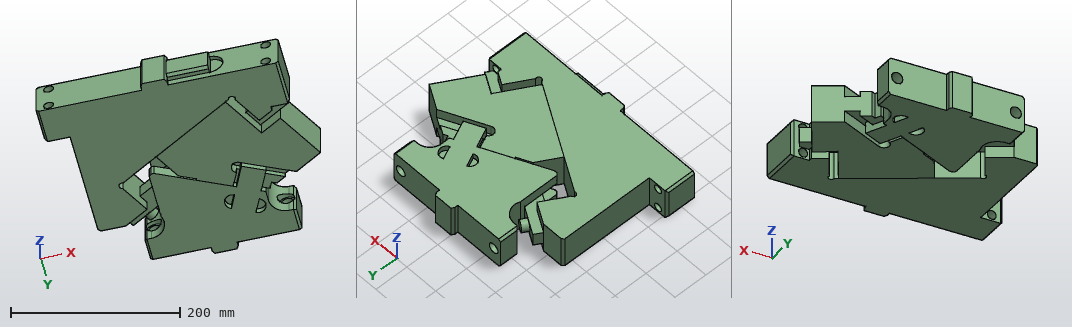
import cadquery as cq
import math


THICKNESS = 50.0
HALF = THICKNESS / 2
END_CHAMFER = 3.0
REACH = 624.5

KEY_WIDTH = 32.0
KEY_HEIGHT = 9.0
KEY_BEVEL_ACROSS = 2.5
KEY_BEVEL_DOWN = 4.0

BASE_WIDTH = 294.8
PLATE_HEIGHT = 45.0
TOWER_X = 30.3
TOWER_HEIGHT = 184.5
LEDGE_X = 271.0
LEDGE_HEIGHT = 59.5
BASE_KEY_X = 128.7
MOUNT_HOLE_RADIUS = 6.0
MOUNT_HOLE_INSET = 15.3
MOUNT_HOLE_Z = 17.0

CROSS_KEY_LENGTH = 50.5
CROSS_KEY_WIDTH = 32.5
CROSS_KEY_SEAT_DEPTH = 5.0

CHANNEL_ANGLE = math.radians(-30)
CHANNEL_CORNER = (70.3, 126.8)
CHANNEL_LENGTH = 184.3
CHANNEL_DEPTH = 47.0
RELIEF_RADIUS = 4.0
RELIEF_INSET = 2.5

RAIL_HALF_WIDTH = 10.0
RAIL_OVERHANG = 35.0
RAIL_TOP = 60.0
RAIL_BOTTOM = 35.0
BOLT_RADIUS = 8.0
BOLT_HEIGHT = 10.0
BOLT_BEFORE_CHANNEL = 11.2

SLIDE_LEFT = 60.0
SLIDE_RIGHT = 173.5
SLIDE_END = 204.3
SLIDE_TOP = 130.2
RAIL_CLEARANCE = 2.0
SLIDE_OVERHANG = RAIL_TOP + RAIL_CLEARANCE

CONTACT_ANGLE = math.radians(25)
CONTACT_START = (107.5, 116.2)
CONTACT_END = 147.0
NOSE_STEP = 8.7
TOE_RELIEF = 2.03
TOE_RELIEF_END = 58.5

DRIVER_LEFT = 80.3
DRIVER_RIGHT = 265.0
DRIVER_TOP = 239.0
FLANGE_BOTTOM = 209.0
NECK_RIGHT = 236.0
NECK_RADIUS = 20.0
TIP_Y = 119.3
TIP_CHAMFER = 3.0
DRIVER_KEY_X = 154.0
FLANGE_HOLE_INSET = 12.0
FLANGE_HOLE_RADIUS = 7.5
COUNTERBORE_RADIUS = 10.0
COUNTERBORE_DEPTH = 5.0

STRAP_START = 106.8
STRAP_WIDTH = 29.7
STRAP_END = STRAP_START + STRAP_WIDTH
STRAP_DROP = 30.0
STRAP_THICKNESS = 8.0
SEAT_RELIEF_RADIUS = 10.0
SEAT_RELIEF_HEIGHT = 22.0
POCKET_START = 102.8
GROOVE_RADIUS = 7.5
GROOVE_CENTER = -27.5
GROOVE_TOP = GROOVE_CENTER + GROOVE_RADIUS
GROOVE_BOTTOM = GROOVE_CENTER - GROOVE_RADIUS
GROOVE_DEPTH = HALF - RAIL_HALF_WIDTH


def turned(along, square, angle, start):
    """X and Y of a point given along and square to a line through start."""
    return (
        start[0] + along * math.cos(angle) - square * math.sin(angle),
        start[1] + along * math.sin(angle) + square * math.cos(angle),
    )


def channel(u, v):
    """u runs down the channel floor from its upper corner, v stands square to the floor."""
    return turned(u, v, CHANNEL_ANGLE, CHANNEL_CORNER)


def contact(s, n):
    """s runs up the contact face, n stands square to it on the driver side."""
    return turned(s, n, CONTACT_ANGLE, CONTACT_START)


def shoulder_at_x(x):
    """The point with this X on the line of the channel's upper corners."""
    along = (x - channel(0, CHANNEL_DEPTH)[0]) / math.cos(CHANNEL_ANGLE)
    return channel(along, CHANNEL_DEPTH)


def shoulder_at_y(y):
    """The point with this Y on the line of the channel's upper corners."""
    along = (y - channel(0, CHANNEL_DEPTH)[1]) / math.sin(CHANNEL_ANGLE)
    return channel(along, CHANNEL_DEPTH)


def prism(points, z_low=-HALF, z_high=HALF):
    return cq.Workplane("XY", origin=(0, 0, z_low)).polyline(points).close().extrude(z_high - z_low)


def disc(center, radius, z_low=-HALF, z_high=HALF):
    return cq.Workplane("XY", origin=(*center, z_low)).circle(radius).extrude(z_high - z_low)


def rectangle(frame, along_0, square_0, along_1, square_1):
    """Corners of a rectangle lying in an inclined frame."""
    return [
        frame(along_0, square_0),
        frame(along_1, square_0),
        frame(along_1, square_1),
        frame(along_0, square_1),
    ]


def side_layers(depth):
    """Z limits of the two layers of this depth under the +Z and -Z faces."""
    return [(HALF - depth, HALF), (-HALF, depth - HALF)]


def chamfer_ends(body, mounting_side):
    """Bevel the two end faces, leaving the edges on the mounting side sharp."""
    for end in ("<X", ">X"):
        body = body.faces(end).edges(f"not {mounting_side}").chamfer(END_CHAMFER)
    return body


def locating_key(x, face_y, outward):
    """A bevelled key on the mounting face; outward is +1 toward +Y and -1 toward -Y."""
    shoulder = face_y + outward * (KEY_HEIGHT - KEY_BEVEL_DOWN)
    crest = face_y + outward * KEY_HEIGHT
    return prism([
        (x, face_y),
        (x, shoulder),
        (x + KEY_BEVEL_ACROSS, crest),
        (x + KEY_WIDTH - KEY_BEVEL_ACROSS, crest),
        (x + KEY_WIDTH, shoulder),
        (x + KEY_WIDTH, face_y),
    ])


def base_block():
    body = prism([
        (0, 0),
        (0, PLATE_HEIGHT),
        (TOWER_X, PLATE_HEIGHT),
        (TOWER_X, TOWER_HEIGHT),
        shoulder_at_y(TOWER_HEIGHT),
        channel(0, CHANNEL_DEPTH),
        channel(0, 0),
        channel(CHANNEL_LENGTH, 0),
        channel(CHANNEL_LENGTH, CHANNEL_DEPTH),
        shoulder_at_x(LEDGE_X),
        (LEDGE_X, LEDGE_HEIGHT),
        (BASE_WIDTH, LEDGE_HEIGHT),
        (BASE_WIDTH, 0),
    ])
    body = chamfer_ends(body, "<Y")
    tower_corner = cq.selectors.NearestToPointSelector((TOWER_X, TOWER_HEIGHT, 0))
    body = body.edges(tower_corner).chamfer(END_CHAMFER)
    for u in (RELIEF_INSET, CHANNEL_LENGTH - RELIEF_INSET):
        body = body.cut(disc(channel(u, RELIEF_INSET), RELIEF_RADIUS))
    return body


def mount_holes():
    """Four holes along Y, through the plate on the left and through the ledge on the right."""
    centers = [
        (x, z)
        for x in (MOUNT_HOLE_INSET, BASE_WIDTH - MOUNT_HOLE_INSET)
        for z in (-MOUNT_HOLE_Z, MOUNT_HOLE_Z)
    ]
    return cq.Workplane("XZ").pushPoints(centers).circle(MOUNT_HOLE_RADIUS).extrude(-LEDGE_HEIGHT)


def cross_key():
    half_width = CROSS_KEY_WIDTH / 2
    half_crest = half_width - KEY_BEVEL_ACROSS
    shoulder = KEY_BEVEL_DOWN - KEY_HEIGHT
    return (
        cq.Workplane("YZ", origin=(BASE_KEY_X + KEY_WIDTH, 0, 0))
        .polyline([
            (0, -half_width),
            (shoulder, -half_width),
            (-KEY_HEIGHT, -half_crest),
            (-KEY_HEIGHT, half_crest),
            (shoulder, half_width),
            (0, half_width),
        ])
        .close()
        .extrude(CROSS_KEY_LENGTH)
    )


def cross_key_seat_end():
    """The half-round end of the key seat, left open past the end of the cross key."""
    radius = CROSS_KEY_WIDTH / 2
    return (
        cq.Workplane("XZ", origin=(BASE_KEY_X + KEY_WIDTH + CROSS_KEY_LENGTH, 0, 0))
        .moveTo(0, -radius)
        .threePointArc((radius, 0), (0, radius))
        .close()
        .extrude(-CROSS_KEY_SEAT_DEPTH)
    )


def rail():
    """A bar over the channel that rests on both shoulders and drops between them."""
    outlines = [
        rectangle(channel, -RAIL_OVERHANG, CHANNEL_DEPTH, CHANNEL_LENGTH + RAIL_OVERHANG, RAIL_TOP),
        rectangle(channel, 0, RAIL_BOTTOM, CHANNEL_LENGTH, RAIL_TOP),
        [(LEDGE_X, LEDGE_HEIGHT), shoulder_at_x(LEDGE_X), shoulder_at_y(LEDGE_HEIGHT)],
    ]
    bars = [prism(outline, -RAIL_HALF_WIDTH, RAIL_HALF_WIDTH) for outline in outlines]
    return bars[0].union(bars[1]).union(bars[2])


def rail_bolt():
    seat = cq.Vector(*channel(-BOLT_BEFORE_CHANNEL, RAIL_TOP), 0)
    square_to_floor = cq.Vector(-math.sin(CHANNEL_ANGLE), math.cos(CHANNEL_ANGLE), 0)
    return cq.Workplane(cq.Solid.makeCylinder(BOLT_RADIUS, BOLT_HEIGHT, seat, square_to_floor))


def make_base():
    body = base_block().cut(mount_holes()).cut(cross_key_seat_end())
    for piece in (locating_key(BASE_KEY_X, 0, -1), cross_key(), rail(), rail_bolt()):
        body = body.union(piece)
    return body.solids()


def slide_block():
    body = prism([
        channel(SLIDE_LEFT, 0),
        channel(SLIDE_LEFT, SLIDE_TOP),
        channel(SLIDE_END, SLIDE_TOP),
        channel(SLIDE_END, SLIDE_OVERHANG),
        channel(SLIDE_RIGHT, SLIDE_OVERHANG),
        channel(SLIDE_RIGHT, 0),
    ])
    trims = [
        rectangle(contact, -REACH, 0, REACH, REACH),
        rectangle(contact, -REACH, -TOE_RELIEF, TOE_RELIEF_END, REACH),
        rectangle(contact, CONTACT_END, -NOSE_STEP, REACH, REACH),
    ]
    for trim in trims:
        body = body.cut(prism(trim))
    return body


def rail_tunnel():
    outline = rectangle(channel, 0, RAIL_BOTTOM, SLIDE_END, SLIDE_OVERHANG)
    return prism(outline, -RAIL_HALF_WIDTH, RAIL_HALF_WIDTH)


def make_slide():
    body = slide_block().cut(rail_tunnel())
    pocket = rectangle(contact, POCKET_START, GROOVE_CENTER, REACH, REACH)
    groove = rectangle(contact, POCKET_START, GROOVE_BOTTOM, REACH, GROOVE_TOP)
    for layer in side_layers(STRAP_THICKNESS):
        body = body.cut(prism(pocket, *layer))
    for layer in side_layers(GROOVE_DEPTH):
        body = body.cut(prism(groove, *layer))
        body = body.cut(disc(contact(POCKET_START, GROOVE_CENTER), GROOVE_RADIUS, *layer))
    return body.solids()


def driver_block():
    arc_y = FLANGE_BOTTOM - NECK_RADIUS
    right_arc_x = NECK_RIGHT + NECK_RADIUS
    left_arc_x = DRIVER_LEFT + DRIVER_RIGHT - right_arc_x
    neck_left = CONTACT_START[0]
    left_arc_end = arc_y - math.sqrt(NECK_RADIUS**2 - (neck_left - left_arc_x) ** 2)
    diagonal = NECK_RADIUS * math.sqrt(0.5)
    tip_end = (TIP_Y - CONTACT_START[1]) / math.sin(CONTACT_ANGLE)
    neck_end = (NECK_RIGHT - neck_left) / math.cos(CONTACT_ANGLE)
    body = (
        cq.Workplane("XY", origin=(0, 0, -HALF))
        .moveTo(DRIVER_LEFT, DRIVER_TOP)
        .lineTo(DRIVER_LEFT, FLANGE_BOTTOM)
        .lineTo(left_arc_x, FLANGE_BOTTOM)
        .threePointArc((left_arc_x + diagonal, arc_y + diagonal), (neck_left, left_arc_end))
        .lineTo(neck_left, TIP_Y + TIP_CHAMFER)
        .lineTo(neck_left + TIP_CHAMFER, TIP_Y)
        .lineTo(*contact(tip_end, 0))
        .lineTo(*contact(neck_end, 0))
        .lineTo(NECK_RIGHT, arc_y)
        .threePointArc((right_arc_x - diagonal, arc_y + diagonal), (right_arc_x, FLANGE_BOTTOM))
        .lineTo(DRIVER_RIGHT, FLANGE_BOTTOM)
        .lineTo(DRIVER_RIGHT, DRIVER_TOP)
        .close()
        .extrude(THICKNESS)
    )
    return chamfer_ends(body, ">Y")


def rail_slot():
    """Lets the driver straddle the rail; open toward the channel."""
    outline = rectangle(channel, 0, -REACH, SLIDE_END, RAIL_TOP)
    return prism(outline, -RAIL_HALF_WIDTH, RAIL_HALF_WIDTH)


def flange_hole(x):
    """A hole through the flange; its counterbore below also bites into the neck arc."""
    bore = cq.Workplane("XZ", origin=(x, DRIVER_TOP, 0)).circle(FLANGE_HOLE_RADIUS)
    seat = cq.Workplane("XZ", origin=(x, FLANGE_BOTTOM + COUNTERBORE_DEPTH, 0)).circle(COUNTERBORE_RADIUS)
    return bore.extrude(DRIVER_TOP - FLANGE_BOTTOM).union(seat.extrude(COUNTERBORE_DEPTH + NECK_RADIUS))


def add_return_straps(body):
    """A strap on each side, set in a seat with rounded corners, with a hook in the slide's groove."""
    strap_top = SEAT_RELIEF_HEIGHT + SEAT_RELIEF_RADIUS
    strap = rectangle(contact, STRAP_START, -STRAP_DROP, STRAP_END, strap_top)
    hook = rectangle(contact, STRAP_START, -STRAP_DROP, STRAP_END, GROOVE_TOP)
    for layer in side_layers(STRAP_THICKNESS):
        for s in (STRAP_START, STRAP_END):
            body = body.cut(disc(contact(s, SEAT_RELIEF_HEIGHT), SEAT_RELIEF_RADIUS, *layer))
        body = body.union(prism(strap, *layer))
    for layer in side_layers(GROOVE_DEPTH):
        body = body.union(prism(hook, *layer))
    return body


def make_driver():
    body = driver_block().cut(rail_slot())
    for x in (DRIVER_LEFT + FLANGE_HOLE_INSET, DRIVER_RIGHT - FLANGE_HOLE_INSET):
        body = body.cut(flange_hole(x))
    body = body.union(locating_key(DRIVER_KEY_X, DRIVER_TOP, 1))
    return add_return_straps(body).solids()


base = make_base()
slide = make_slide()
driver = make_driver()

result = cq.Compound.makeCompound([base.val(), slide.val(), driver.val()])